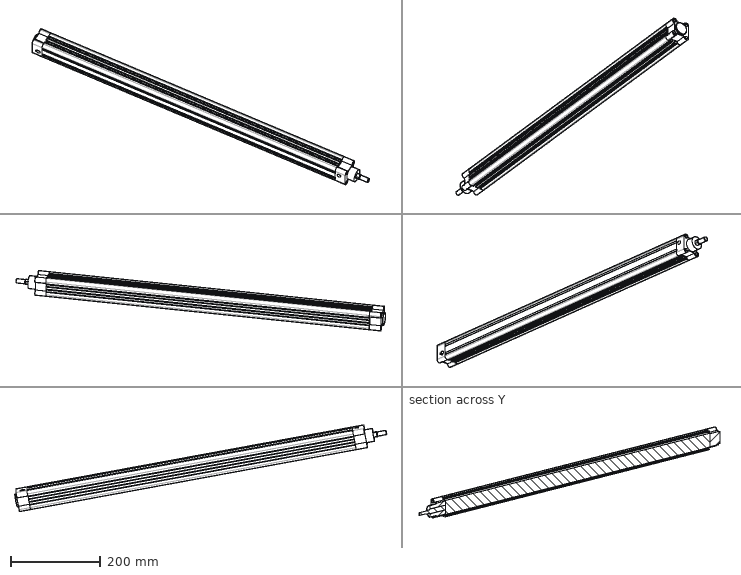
import cadquery as cq


TOTAL_LENGTH = 846.0
REAR_BOSS_LENGTH = 4.0
CAP_LENGTH = 25.0
FRONT_BOSS_LENGTH = 18.0
ROD_NECK_LENGTH = 8.0
THREAD_LENGTH = 22.0

SIDE = 45.0
CORNER_RADIUS = 6.3
LOBE_RADIUS = 6.3
BOSS_DIAMETER = 30.0
REAR_BOSS_CHAMFER = 1.0

SCREW_HOLE_DIAMETER = 6.0
SCREW_HOLE_DEPTH = 16.0

PORT_DIAMETER = 8.5
PORT_DEPTH = 10.0
PORT_OFFSET_Z = 5.0
PORT_FROM_BARREL = 9.0
ADJUSTER_DIAMETER = 3.0
ADJUSTER_DEPTH = 4.0
ADJUSTER_FROM_PORT = 5.0

SLOT_OPENING_INNER = 3.8
SLOT_OPENING_OUTER = 9.0
SLOT_UNDERCUT = 1.3
SLOT_LIP = 1.9
SLOT_DEPTH = 5.0

GROOVE_DIAMETER = 4.0
GROOVE_OFFSET_Z = 10.0

ROD_DIAMETER = 12.0
THREAD_DIAMETER = 10.0
ROD_CHAMFER_LENGTH = 2.0
THREAD_CHAMFER = 1.0
FLAT_WIDTH = 10.0
FLAT_LENGTH = 6.0

HALF_SIDE = SIDE / 2
SCREW_OFFSET = HALF_SIDE - LOBE_RADIUS
REAR_FACE = REAR_BOSS_LENGTH
BARREL_START = REAR_FACE + CAP_LENGTH
THREAD_START = TOTAL_LENGTH - THREAD_LENGTH
FRONT_BOSS_END = THREAD_START - ROD_NECK_LENGTH
FRONT_FACE = FRONT_BOSS_END - FRONT_BOSS_LENGTH
BARREL_END = FRONT_FACE - CAP_LENGTH
SLOTTED_SIDES = (0, 90, 180)


def section(x):
    """Workplane across the axis at x: local x is +Y, local y is +Z, and it extrudes to +X."""
    return cq.Workplane("YZ", origin=(x, 0, 0))


def rounded_square_bar(start, end):
    bar = section(start).rect(SIDE, SIDE).extrude(end - start)
    return bar.edges("|X").fillet(CORNER_RADIUS)


def box_between(x0, x1, y0, y1, z0, z1):
    return cq.Workplane("XY").box(x1 - x0, y1 - y0, z1 - z0, centered=False).translate((x0, y0, z0))


def cut_on_slotted_sides(body, top_cutter):
    """Cut a cutter made for the +Z side from the +Z, +Y and -Z sides."""
    for turn in SLOTTED_SIDES:
        body = body.cut(top_cutter.rotate((0, 0, 0), (1, 0, 0), -turn))
    return body


def side_recess(start, end):
    """Recess between two screw lobes of the +Z side, with the lobes' round flanks left standing."""
    recess = box_between(start, end, -SCREW_OFFSET, SCREW_OFFSET, SCREW_OFFSET, HALF_SIDE)
    for side in (-1, 1):
        lobe = section(start).center(side * SCREW_OFFSET, SCREW_OFFSET).circle(LOBE_RADIUS)
        recess = recess.cut(lobe.extrude(end - start))
    return recess


def hole_in_front_side(x, z, diameter, depth):
    """Cylinder that drills a hole of the given depth into the -Y side."""
    start = cq.Workplane("XZ", origin=(x, -HALF_SIDE, z))
    return start.circle(diameter / 2).extrude(-depth)


def end_cap(start, end):
    """Cap block with a recess in three sides; the -Y side stays flat for the port."""
    return cut_on_slotted_sides(rounded_square_bar(start, end), side_recess(start, end))


def drill_screw_holes(cap, face_x, direction):
    """Drill the four corner screw holes from the outer face, into the cap along direction."""
    corners = section(face_x).rect(2 * SCREW_OFFSET, 2 * SCREW_OFFSET, forConstruction=True).vertices()
    return cap.cut(corners.circle(SCREW_HOLE_DIAMETER / 2).extrude(direction * SCREW_HOLE_DEPTH))


def make_rear_cap():
    cap = end_cap(REAR_FACE, BARREL_START)
    boss = section(0).circle(BOSS_DIAMETER / 2).extrude(REAR_FACE)
    cap = cap.union(boss.faces("<X").chamfer(REAR_BOSS_CHAMFER))
    cap = drill_screw_holes(cap, REAR_FACE, 1)
    port_x = BARREL_START - PORT_FROM_BARREL
    cap = cap.cut(hole_in_front_side(port_x, -PORT_OFFSET_Z, PORT_DIAMETER, PORT_DEPTH))
    adjuster_x = port_x - ADJUSTER_FROM_PORT
    return cap.cut(hole_in_front_side(adjuster_x, -PORT_OFFSET_Z, ADJUSTER_DIAMETER, ADJUSTER_DEPTH))


def make_front_cap():
    cap = end_cap(BARREL_END, FRONT_FACE)
    cap = cap.union(section(FRONT_FACE).circle(BOSS_DIAMETER / 2).extrude(FRONT_BOSS_LENGTH))
    cap = drill_screw_holes(cap, FRONT_FACE, -1)
    port_x = BARREL_END + PORT_FROM_BARREL
    cap = cap.cut(hole_in_front_side(port_x, PORT_OFFSET_Z, PORT_DIAMETER, PORT_DEPTH))
    return cap.cut(section(BARREL_END).circle(ROD_DIAMETER / 2).extrude(FRONT_BOSS_END - BARREL_END))


def undercut_slot_pair():
    """The two undercut slots of the +Z side, mirrored about the middle of that side."""
    floor = HALF_SIDE - SLOT_DEPTH
    opening = box_between(
        BARREL_START, BARREL_END, SLOT_OPENING_INNER, SLOT_OPENING_OUTER, floor, HALF_SIDE
    )
    undercut = box_between(
        BARREL_START, BARREL_END,
        SLOT_OPENING_INNER - SLOT_UNDERCUT, SLOT_OPENING_OUTER + SLOT_UNDERCUT,
        floor, HALF_SIDE - SLOT_LIP,
    )
    slot = opening.union(undercut)
    return slot.union(slot.mirror("XZ"))


def make_barrel():
    barrel = rounded_square_bar(BARREL_START, BARREL_END)
    barrel = cut_on_slotted_sides(barrel, undercut_slot_pair())
    for side in (-1, 1):
        groove = section(BARREL_START).center(-HALF_SIDE, side * GROOVE_OFFSET_Z)
        barrel = barrel.cut(groove.circle(GROOVE_DIAMETER / 2).extrude(BARREL_END - BARREL_START))
    return barrel


def make_rod():
    rod_radius = ROD_DIAMETER / 2
    thread_radius = THREAD_DIAMETER / 2
    half_profile = (
        cq.Workplane("XY")
        .moveTo(BARREL_END, 0)
        .lineTo(BARREL_END, rod_radius)
        .lineTo(THREAD_START, rod_radius)
        .lineTo(THREAD_START + ROD_CHAMFER_LENGTH, thread_radius)
        .lineTo(TOTAL_LENGTH - THREAD_CHAMFER, thread_radius)
        .lineTo(TOTAL_LENGTH, thread_radius - THREAD_CHAMFER)
        .lineTo(TOTAL_LENGTH, 0)
        .close()
    )
    rod = half_profile.revolve(360, (0, 0, 0), (1, 0, 0))
    flats_end = FRONT_BOSS_END + FLAT_LENGTH
    back_flat = box_between(
        FRONT_BOSS_END, flats_end, FLAT_WIDTH / 2, rod_radius, -rod_radius, rod_radius
    )
    return rod.cut(back_flat).cut(back_flat.mirror("XZ"))


rear_cap = make_rear_cap()
barrel = make_barrel()
front_cap = make_front_cap()
rod = make_rod()

result = cq.Compound.makeCompound([rear_cap.val(), barrel.val(), front_cap.val(), rod.val()])